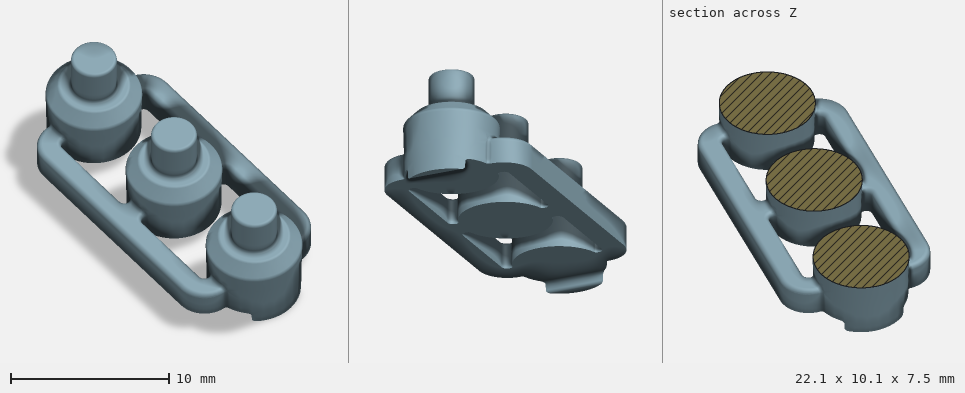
import cadquery as cq
import math

button_pitch = 8.0
button_centers = [-button_pitch, 0.0, button_pitch]
body_radius = 3.06
body_base_radius = 2.98
cone_start_height = 4.09
shoulder_radius = 2.24
shoulder_height = cone_start_height + body_radius - shoulder_radius
stem_radius = 1.45
total_height = 7.5

cone_base_fillet = 0.3
shoulder_fillet = 0.25
stem_root_fillet = 0.17
stem_top_fillet = 0.2

frame_bottom = 0.75
frame_top = 2.56
frame_width = 10.05
rail_width = 1.53
leg_width = 1.54
frame_outer_corner = 1.92
frame_inner_corner = 0.38
frame_edge_fillet = 0.31
leg_root_fillet = 0.2

tab_inner_offset = button_pitch + 2.22
tab_root_fillet = 0.2
tab_bottom_fillet = 0.18


def lies_on_body(point, center_x):
    """True if a point is on the drafted side of the button body centred at center_x."""
    tolerance = 0.004
    draft = (body_radius - body_base_radius) / cone_start_height
    local_radius = body_base_radius + draft * point.z
    return abs(math.hypot(point.x - center_x, point.y) - local_radius) < tolerance


def is_leg_root(edge, center_x):
    """True for the side and top edges where the frame legs meet a button body."""
    start, middle, end = edge.positions([0, 0.5, 1])
    on_body = all(lies_on_body(point, center_x) for point in (start, middle, end))
    beside_leg = abs(middle.y) > leg_width
    above_underside = frame_bottom < middle.z
    below_frame_top = middle.z < frame_top + leg_root_fillet
    return on_body and beside_leg and above_underside and below_frame_top


def make_button():
    """Drafted body with a 45 degree cone and a round stem, all edges rounded."""
    outline = cq.Sketch().polygon([
        (0, 0),
        (body_base_radius, 0),
        (body_radius, cone_start_height),
        (shoulder_radius, shoulder_height),
        (stem_radius, shoulder_height),
        (stem_radius, total_height),
        (0, total_height),
        (0, 0),
    ])
    corner_fillets = [
        (body_radius, cone_start_height, cone_base_fillet),
        (shoulder_radius, shoulder_height, shoulder_fillet),
        (stem_radius, shoulder_height, stem_root_fillet),
        (stem_radius, total_height, stem_top_fillet),
    ]
    for radius, height, fillet in corner_fillets:
        outline = outline.reset().vertices(cq.selectors.NearestToPointSelector((radius, height, 0)))
        outline = outline.fillet(fillet)
    return cq.Workplane("XZ").placeSketch(outline.reset()).revolve(360, (0, 0, 0), (0, 1, 0))


def make_frame():
    """Round-cornered plate with a window between each pair of neighbouring buttons."""
    frame_length = 2 * button_pitch + leg_width
    frame_height = frame_top - frame_bottom
    window_length = button_pitch - leg_width
    window_width = frame_width - 2 * rail_width
    window_centers = [(-button_pitch / 2, 0), (button_pitch / 2, 0)]

    base = cq.Workplane("XY").workplane(offset=frame_bottom)
    plate = base.rect(frame_length, frame_width).extrude(frame_height)
    plate = plate.edges("|Z").fillet(frame_outer_corner)
    windows = base.pushPoints(window_centers).rect(window_length, window_width).extrude(frame_height)
    windows = windows.edges("|Z").fillet(frame_inner_corner)
    return plate.cut(windows).faces(">Z").edges().fillet(frame_edge_fillet)


def make_underside_cutter():
    """Block that clears everything below the frame between the two end tabs."""
    cutter = cq.Workplane("XY").box(2 * tab_inner_offset, frame_width, 2 * frame_bottom)
    return cutter.edges("|Y and >Z").fillet(tab_root_fillet)


def join_button(part, button, center_x):
    """Add a button to the part and round the corners between its body and the legs."""
    joined = part.union(button.translate((center_x, 0, 0)))
    root_edges = [edge for edge in joined.edges().vals() if is_leg_root(edge, center_x)]
    return joined.newObject(root_edges).fillet(leg_root_fillet)


def cut_tabs(part):
    """Trim the underside, leaving a tab at each end, and round the tabs' lower inner edges."""
    return part.cut(make_underside_cutter()).edges("|Y and <Z").fillet(tab_bottom_fillet)


result = make_frame()
button = make_button()
for center in button_centers:
    result = join_button(result, button, center)
result = cut_tabs(result)